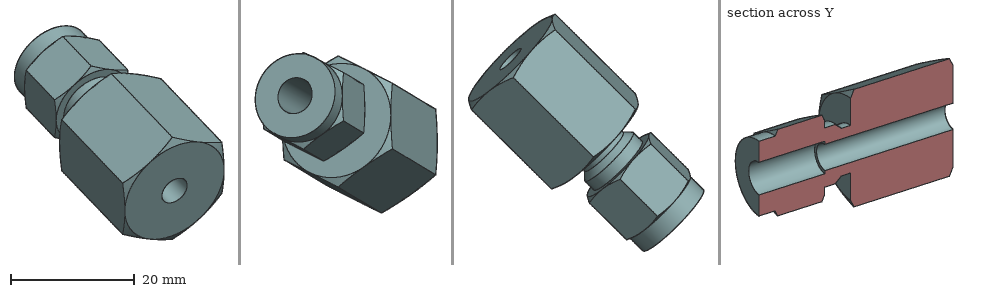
import cadquery as cq
import math

HEXAGON_SIDES = 6

collar_end = 3.12
nut_end = 12.75
shoulder_end = 14.8
taper_end = 15.98
body_start = 17.7
total_length = 37.6

nut_across_flats = 14.0
body_across_flats = 19.0
shoulder_diameter = 11.13
neck_diameter = 8.95
tube_socket_diameter = 5.98
bore_diameter = 4.8

tube_socket_depth = nut_end
chamfer_angle = 25.0


def cylinder(start, end, diameter):
    """Round bar along X between two stations."""
    return cq.Workplane("YZ", origin=(start, 0, 0)).circle(diameter / 2).extrude(end - start)


def chamfered_hexagon(start, end, across_flats):
    """Hexagon bar along X, corners on +Z and -Z, both ends turned to a cone."""
    flat_radius = across_flats / 2
    corner_radius = flat_radius / math.cos(math.pi / HEXAGON_SIDES)
    chamfer_length = (corner_radius - flat_radius) * math.tan(math.radians(chamfer_angle))
    corner_angles = [math.radians(360 / HEXAGON_SIDES * i) for i in range(HEXAGON_SIDES)]
    corners = [(corner_radius * math.sin(angle), corner_radius * math.cos(angle)) for angle in corner_angles]
    bar = cq.Workplane("YZ", origin=(start, 0, 0)).polyline(corners).close().extrude(end - start)
    turned_envelope = (
        cq.Workplane("XY")
        .moveTo(start, 0)
        .lineTo(start, flat_radius)
        .lineTo(start + chamfer_length, corner_radius)
        .lineTo(end - chamfer_length, corner_radius)
        .lineTo(end, flat_radius)
        .lineTo(end, 0)
        .close()
        .revolve(360, (0, 0, 0), (1, 0, 0))
    )
    return bar.intersect(turned_envelope)


def stepped_neck():
    """Shoulder behind the nut, tapering down to the neck in front of the body."""
    return (
        cq.Workplane("XY")
        .moveTo(nut_end, 0)
        .lineTo(nut_end, shoulder_diameter / 2)
        .lineTo(shoulder_end, shoulder_diameter / 2)
        .lineTo(taper_end, neck_diameter / 2)
        .lineTo(body_start, neck_diameter / 2)
        .lineTo(body_start, 0)
        .close()
        .revolve(360, (0, 0, 0), (1, 0, 0))
    )


nut_collar = cylinder(0, collar_end, nut_across_flats)
nut = chamfered_hexagon(collar_end, nut_end, nut_across_flats)
body = chamfered_hexagon(body_start, total_length, body_across_flats)
solid_fitting = nut_collar.union(nut).union(stepped_neck()).union(body)

tube_socket = cylinder(0, tube_socket_depth, tube_socket_diameter)
bore = cylinder(0, total_length, bore_diameter)

result = solid_fitting.cut(tube_socket).cut(bore)